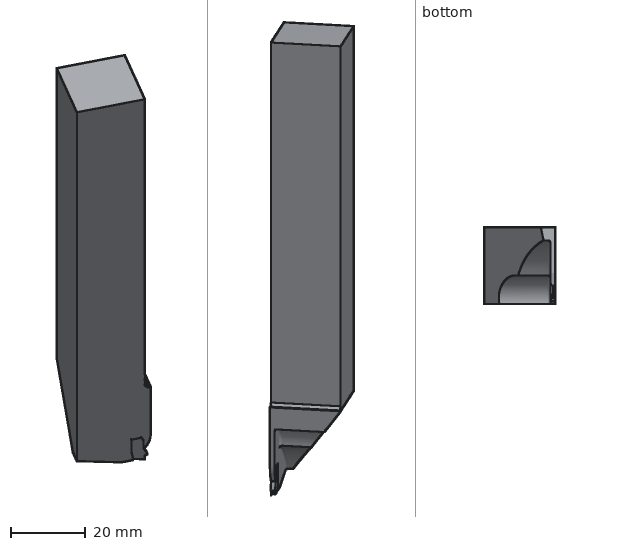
import cadquery as cq
import math


shank_size = 19.0
tool_length = 127.0
head_depth = 20.7
step_top = 26.0
step_chamfer = 0.9
head_arc_top = 8.5
head_arc_radius = 6.7
head_arc_bottom = 3.8
blade_bottom = 0.5
blade_flat_end = 12.5
slope_top = 4.0

bevel_top = 24.6
bevel_width = 15.0
bevel_bottom = 4.2

blade_thickness = 1.3
blade_face = shank_size - blade_thickness
lobe_y = 19.0
lobe_z = 13.2
lobe_radius = 6.1
sweep_y = 18.5
sweep_z = -2.8
sweep_radius = 16.0
relief_fillet = 0.8

insert_inner = 15.2
insert_heel = 15.7
insert_heel_z = 0.9
insert_top = 7.9
insert_outer = 18.7
insert_corner_y = 0.6
insert_corner_z = 1.1
seat_exit_z = 4.0
taper_top = 3.8
edge_y = 19.0
throat_y = 19.0
throat_z = 3.3
ridge_y = 19.8
ridge_z = 1.7
edge_top = 1.3
groove_depth = 0.6
bevel_run = 1.3
bevel_cut = 0.5


def extrude_yz(points, start_x, end_x):
    """Prism along X with the given YZ outline."""
    plane = cq.Workplane("YZ", origin=(start_x, 0, 0))
    return plane.polyline(points).close().extrude(end_x - start_x)


def disc(y, z, radius):
    """Cylinder along X from the -X side down to the blade face."""
    return cq.Workplane("YZ").center(y, z).circle(radius).extrude(blade_face)


def make_body():
    """Shank and head, extruded across the full width."""
    def arc_point(z):
        offset = math.sqrt(head_arc_radius**2 - (head_arc_top - z)**2)
        return (head_depth - head_arc_radius + offset, z)

    arc_middle = (head_arc_top + head_arc_bottom) / 2
    return (
        cq.Workplane("YZ")
        .moveTo(0, slope_top)
        .lineTo(0, tool_length)
        .lineTo(shank_size, tool_length)
        .lineTo(shank_size, step_top)
        .lineTo(shank_size + step_chamfer, step_top - step_chamfer)
        .lineTo(head_depth, step_top - step_chamfer)
        .lineTo(head_depth, head_arc_top)
        .threePointArc(arc_point(arc_middle), arc_point(head_arc_bottom))
        .lineTo(insert_heel, insert_heel_z)
        .lineTo(insert_heel, blade_bottom)
        .lineTo(blade_flat_end, blade_bottom)
        .close()
        .extrude(shank_size)
    )


def make_bevel():
    """Wedge removed from the -X side, its slope carried on below Z = 0."""
    bevel_slope = bevel_width / (bevel_top - bevel_bottom)
    return (
        cq.Workplane("XZ")
        .polyline([(0, bevel_top), (bevel_top * bevel_slope, 0), (0, 0)])
        .close()
        .extrude(-head_depth)
    )


def make_relief():
    """Two-lobed pocket cutter with a rounded floor edge."""
    neck = extrude_yz(
        [
            (lobe_y - lobe_radius, lobe_z),
            (lobe_y - lobe_radius, 0),
            (lobe_y + lobe_radius, 0),
            (lobe_y + lobe_radius, lobe_z),
        ],
        0,
        blade_face,
    )
    lobe = disc(lobe_y, lobe_z, lobe_radius).union(neck)
    sweep = disc(sweep_y, sweep_z, sweep_radius)
    return lobe.union(sweep).faces(">X").edges().fillet(relief_fillet)


def make_insert_blank():
    """Insert outline through the thickness of the blade."""
    return extrude_yz(
        [
            (edge_y, 0),
            (insert_heel, insert_heel_z),
            (insert_inner, taper_top),
            (insert_inner, insert_top),
            (insert_outer - insert_corner_y, insert_top),
            (insert_outer, insert_top - insert_corner_z),
            (insert_outer, seat_exit_z),
            (throat_y, throat_z),
            (ridge_y, ridge_z),
            (edge_y, edge_top),
        ],
        blade_face,
        shank_size,
    )


def make_groove():
    """V-shaped groove along the lower side of the insert."""
    run = cq.Vector(0, edge_y - insert_heel, -insert_heel_z)
    start = cq.Vector(blade_face, insert_heel, insert_heel_z) - run
    plane = cq.Plane(origin=start.toTuple(), xDir=(1, 0, 0), normal=run.toTuple())
    middle = blade_thickness / 2
    profile = [(0, 0), (blade_thickness, 0), (middle, -groove_depth)]
    return cq.Workplane(plane).polyline(profile).close().extrude(3 * run.Length)


def make_corner_bevel():
    """Bevel across the cutting corner on the -X face."""
    across = math.sqrt(0.5)
    start = (blade_face, edge_y - bevel_run, 0)
    plane = cq.Plane(origin=start, xDir=(1, 0, 0), normal=(0, across, across))
    profile = [(0, 0), (bevel_cut, bevel_run), (0, bevel_run)]
    return (
        cq.Workplane(plane)
        .polyline(profile)
        .close()
        .extrude(2 * bevel_run)
    )


insert_blank = make_insert_blank()
holder = make_body().cut(make_bevel()).cut(make_relief()).cut(insert_blank)
insert = insert_blank.cut(make_groove()).cut(make_corner_bevel())

result = cq.Compound.makeCompound([*holder.vals(), *insert.vals()])